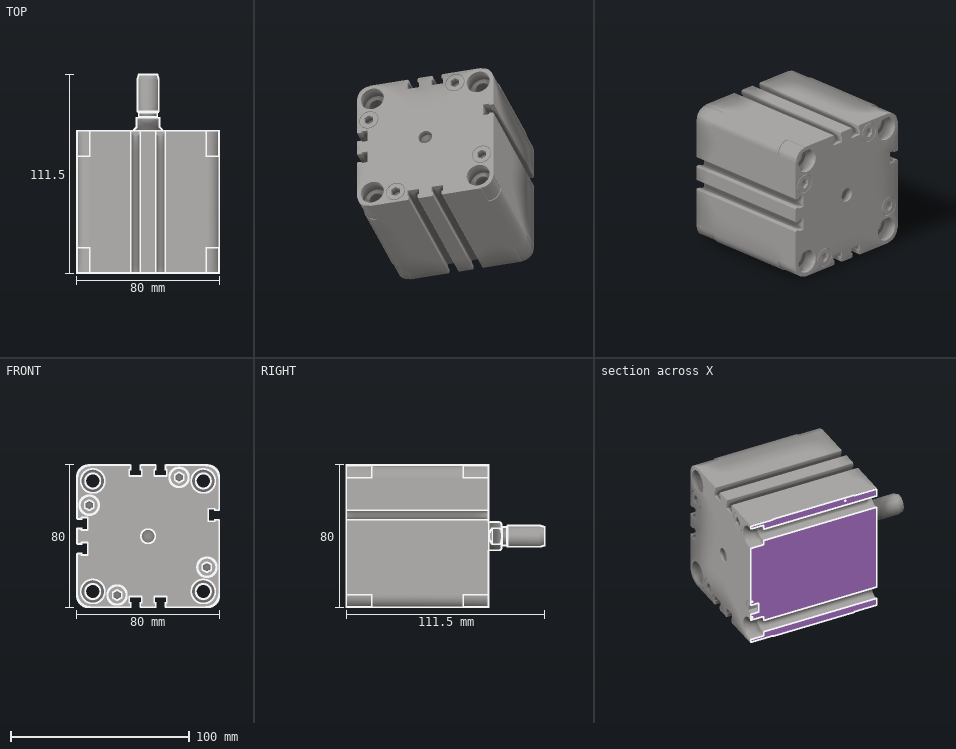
import cadquery as cq
import math

body_side = 80.0
body_length = 80.0
total_length = 111.5
half_side = body_side / 2
rod_length = total_length - body_length

cap_length = 14.3
tube_length = body_length - 2 * cap_length
corner_radius = 6.9
cap_corner_inset = 0.3

slot_offset = 7.0
single_slot_height = 11.9
slot_mouth_width = 5.2
slot_inner_width = 6.9
slot_depth = 6.1
slot_lip_depth = 2.7
slot_mouth_fillet = 0.7

mount_hole_pos = 31.0
mount_hole_diameter = 8.4
counterbore_diameter = 13.5
counterbore_depth = 8.3

center_hole_diameter = 8.0
center_hole_depth = 4.0

screw_near = 17.4
screw_far = 33.0
screw_recess_diameter = 11.2
screw_head_diameter = 10.5
screw_gap_depth = 1.1
socket_width = 5.0
socket_depth = 5.0

collar_diameter = 16.0
collar_length = 7.2
collar_fillet = 1.6
flat_width = 13.0
flat_start = 1.9
neck_diameter = 10.5
neck_root_diameter = 10.0
neck_start = 7.7
neck_end = 10.0
thread_diameter = 12.0
thread_start = 10.7
tip_diameter = 10.5
tip_chamfer_length = 2.7


def on_plane(y):
    """Workplane at distance y from the rear face with X to the left, Z up and its normal along +Y."""
    return cq.Workplane(cq.Plane(origin=(0, y, 0), xDir=(-1, 0, 0), normal=(0, 1, 0)))


def rounded_bar(y, length, side):
    """Square bar along Y with rounded corners."""
    bar = on_plane(y).rect(side, side).extrude(length)
    return bar.edges("|Y").fillet(corner_radius)


def end_cap(y):
    """Cap with full-width flat sides and corner arcs set slightly inside them."""
    inset_side = body_side - 2 * cap_corner_inset
    flat_side = inset_side - 2 * corner_radius
    cap = rounded_bar(y, cap_length, inset_side)
    cap = cap.union(on_plane(y).rect(body_side, flat_side).extrude(cap_length))
    return cap.union(on_plane(y).rect(flat_side, body_side).extrude(cap_length))


def t_slot(offset, turn):
    """Slot cutter in the +Z face, shifted along X and then turned about Y."""
    mouth = slot_mouth_width / 2
    inner = slot_inner_width / 2
    face = half_side
    floor = face - slot_depth
    lip = face - slot_lip_depth
    radius = slot_mouth_fillet
    arc_inset = radius * (1 - math.cos(math.pi / 4))
    half_slot = (
        on_plane(0)
        .moveTo(0, face)
        .lineTo(mouth + radius, face)
        .threePointArc((mouth + arc_inset, face - arc_inset), (mouth, face - radius))
        .lineTo(mouth, lip)
        .lineTo(inner, lip)
        .lineTo(inner, floor)
        .lineTo(0, floor)
        .close()
        .extrude(body_length)
    )
    cutter = half_slot.union(half_slot.mirror("YZ")).translate((offset, 0, 0))
    return cutter.rotate((0, 0, 0), (0, 1, 0), turn)


def cylinder_cut(x, z, diameter, depth):
    """Round hole cutter going in from the rear face."""
    return on_plane(0).center(-x, z).circle(diameter / 2).extrude(depth)


def cap_screw(x, z):
    """Flush screw head surrounded by a thin ring gap, with a hexagon socket."""
    gap = cylinder_cut(x, z, screw_recess_diameter, screw_gap_depth)
    gap = gap.cut(cylinder_cut(x, z, screw_head_diameter, screw_gap_depth))
    across_corners = socket_width / math.cos(math.pi / 6)
    socket = on_plane(0).polygon(6, across_corners).extrude(socket_depth)
    socket = socket.rotate((0, 0, 0), (0, 1, 0), 30).translate((x, 0, z))
    return gap.union(socket)


def piston_rod():
    """Turned rod with a rounded collar carrying two opposite wrench flats."""
    collar = on_plane(body_length).circle(collar_diameter / 2).extrude(collar_length)
    collar = collar.faces(">Y").edges().fillet(collar_fillet)
    half_flat = flat_width / 2
    for side in (1, -1):
        flat_cut = (
            cq.Workplane("XY")
            .moveTo(side * half_flat, body_length + flat_start)
            .lineTo(side * half_flat, total_length)
            .lineTo(side * (half_flat + flat_start), total_length)
            .lineTo(side * (half_flat + flat_start), body_length)
            .close()
            .extrude(collar_diameter, both=True)
        )
        collar = collar.cut(flat_cut)

    stations = [
        (0, 0),
        (neck_root_diameter / 2, 0),
        (neck_root_diameter / 2, collar_length),
        (neck_diameter / 2, neck_start),
        (neck_diameter / 2, neck_end),
        (thread_diameter / 2, thread_start),
        (thread_diameter / 2, rod_length - tip_chamfer_length),
        (tip_diameter / 2, rod_length),
        (0, rod_length),
    ]
    shank = (
        cq.Workplane("XY")
        .polyline([(radius, body_length + y) for radius, y in stations])
        .close()
        .revolve(360, (0, 0, 0), (0, 1, 0))
    )
    return collar.union(shank)


body = rounded_bar(cap_length, tube_length, body_side)
body = body.union(end_cap(0)).union(end_cap(body_length - cap_length))

for turn in (0, 180, -90):
    for offset in (slot_offset, -slot_offset):
        body = body.cut(t_slot(offset, turn))
body = body.cut(t_slot(-single_slot_height, 90))

for x in (mount_hole_pos, -mount_hole_pos):
    for z in (mount_hole_pos, -mount_hole_pos):
        body = body.cut(cylinder_cut(x, z, mount_hole_diameter, body_length))
        body = body.cut(cylinder_cut(x, z, counterbore_diameter, counterbore_depth))

body = body.cut(cylinder_cut(0, 0, center_hole_diameter, center_hole_depth))

screw_positions = [
    (screw_near, screw_far),
    (screw_far, -screw_near),
    (-screw_near, -screw_far),
    (-screw_far, screw_near),
]
for x, z in screw_positions:
    body = body.cut(cap_screw(x, z))

result = body.union(piston_rod())